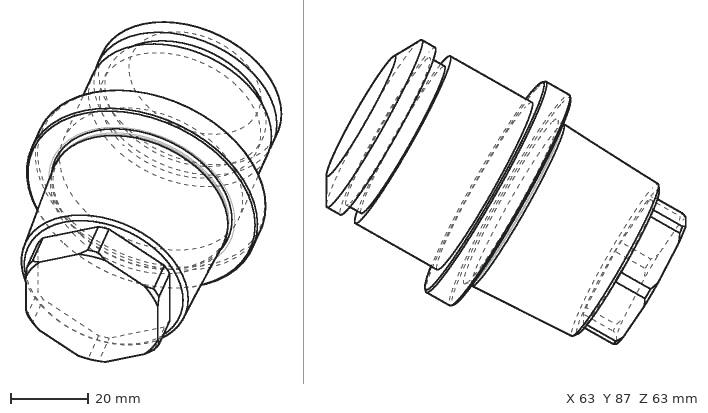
import cadquery as cq
import math


flange_radius = 63 / 2
flange_length = 8
flange_chamfer = 0.5

handle_radius = 25
handle_end = 45
groove_radius = 22
groove_start = 32.5
groove_end = 37
end_cone_length = 4
end_face_radius = 18

taper_rate = 1 / 9.98
gauge_radius = 24.005
gauge_distance = 6.3
taper_length = 32
taper_tip_radius = 21.65
tip_chamfer_length = 0.9

undercut_length = 2
undercut_depth = 0.2
undercut_fillet = 0.75
undercut_face_radius = 25.4
undercut_face_angle = math.radians(8)
undercut_runout_angle = math.radians(15)

hex_across_flats = 36
hex_corner_radius = 20
hex_length = 10
hex_chamfer = 1


def taper_radius(distance):
    """Radius of the taper at a distance in front of the flange face."""
    return gauge_radius - (distance - gauge_distance) * taper_rate / 2


def undercut_fillet_point(neck_radius, fillet_y, angle):
    """Point on the undercut fillet at a turn of angle from the neck towards the flange."""
    radius = neck_radius + undercut_fillet * (1 - math.cos(angle))
    return (radius, fillet_y + undercut_fillet * math.sin(angle))


def undercut_blend_point(neck_radius, blend_y, angle):
    """Point on the blend at a turn of angle from the neck towards the taper."""
    radius = neck_radius + undercut_fillet * (1 - math.cos(angle))
    return (radius, blend_y - undercut_fillet * math.sin(angle))


def make_turned_body():
    """Handle, flange, undercut and taper as one revolved profile."""
    chamfered_radius = flange_radius - flange_chamfer
    neck_radius = taper_radius(undercut_length) - undercut_depth
    runout_length = undercut_depth / math.tan(undercut_runout_angle)

    blend_sweep = undercut_runout_angle
    blend_tangent = undercut_fillet * math.tan(blend_sweep / 2)
    blend_y = runout_length - undercut_length + blend_tangent

    fillet_sweep = math.pi / 2 - undercut_face_angle
    fillet_end_radius = undercut_fillet_point(neck_radius, 0, fillet_sweep)[0]
    recess_depth = (undercut_face_radius - fillet_end_radius) * math.tan(undercut_face_angle)
    fillet_y = recess_depth - undercut_fillet * math.sin(fillet_sweep)

    profile = (
        cq.Workplane("XY")
        .moveTo(0, handle_end)
        .lineTo(end_face_radius, handle_end)
        .lineTo(handle_radius, handle_end - end_cone_length)
        .lineTo(handle_radius, groove_end)
        .lineTo(groove_radius, groove_end)
        .lineTo(groove_radius, groove_start)
        .lineTo(handle_radius, groove_start)
        .lineTo(handle_radius, flange_length)
        .lineTo(chamfered_radius, flange_length)
        .lineTo(flange_radius, flange_length - flange_chamfer)
        .lineTo(flange_radius, flange_chamfer)
        .lineTo(chamfered_radius, 0)
        .lineTo(undercut_face_radius, 0)
        .lineTo(*undercut_fillet_point(neck_radius, fillet_y, fillet_sweep))
        .threePointArc(
            undercut_fillet_point(neck_radius, fillet_y, fillet_sweep / 2),
            (neck_radius, fillet_y),
        )
        .lineTo(neck_radius, blend_y)
        .threePointArc(
            undercut_blend_point(neck_radius, blend_y, blend_sweep / 2),
            undercut_blend_point(neck_radius, blend_y, blend_sweep),
        )
        .lineTo(taper_radius(undercut_length), -undercut_length)
        .lineTo(taper_radius(taper_length - tip_chamfer_length), tip_chamfer_length - taper_length)
        .lineTo(taper_tip_radius, -taper_length)
        .lineTo(0, -taper_length)
        .close()
    )
    return profile.revolve(360, (0, 0, 0), (0, 1, 0))


def make_hexagon():
    """Drive hexagon with corners turned down and chamfered, one corner pair along Z."""
    hex_prism = (
        cq.Workplane("XZ", origin=(0, -taper_length, 0))
        .polygon(6, hex_across_flats, circumscribed=True)
        .extrude(hex_length)
    )
    turned_blank = (
        cq.Workplane("XZ", origin=(0, -taper_length, 0))
        .circle(hex_corner_radius)
        .extrude(hex_length)
        .faces("<Y")
        .chamfer(hex_chamfer)
    )
    return hex_prism.intersect(turned_blank)


result = make_turned_body().union(make_hexagon())